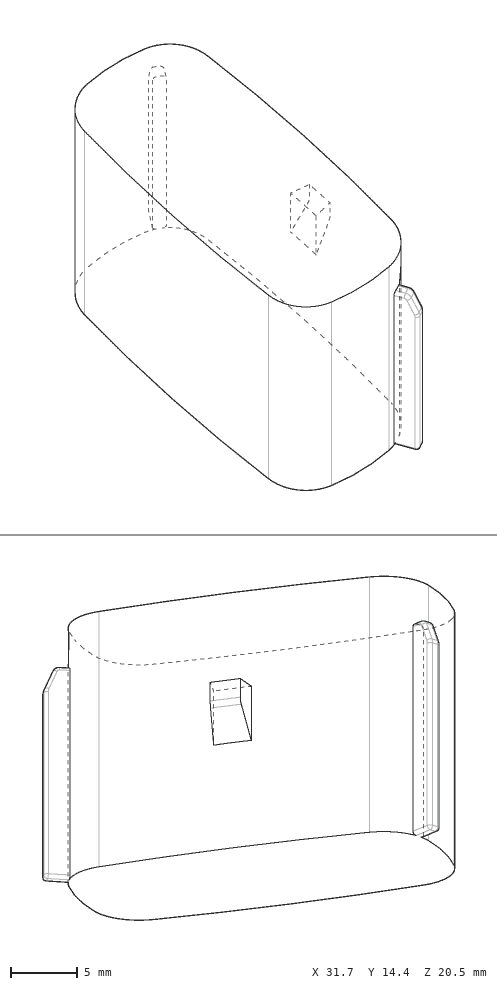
import cadquery as cq
body_width = 29.28
body_depth = 12.8
body_height = 20.5
long_side_bow = 0.6
end_bow = 1.1
corner_radius = 3.92

fin_angle = 30
fin_axis_x = 10.55
fin_axis_y = 1.93
fin_reach = 5.92
fin_thickness = 1.08
fin_height = 17.0
fin_slope_width = 0.82
fin_slope_height = 1.9
fin_tip_blend = 0.9
fin_top_blend = 0.5
fin_edge_radius = 0.3

catch_projection = 1.58
catch_root_width = 3.0
catch_tip_width = 2.4
catch_root_bottom = 8.45
catch_root_top = 12.8
catch_tip_bottom = 11.1
catch_tip_top = 12.88
catch_tip_blend = 1.0
catch_embed = 0.32

rear_y = body_depth / 2


def make_body():
    half_width = body_width / 2
    half_depth = body_depth / 2
    corner_x = half_width - end_bow
    corner_y = half_depth - long_side_bow
    return (
        cq.Workplane("XY")
        .moveTo(-corner_x, -corner_y)
        .threePointArc((0, -half_depth), (corner_x, -corner_y))
        .threePointArc((half_width, 0), (corner_x, corner_y))
        .threePointArc((0, half_depth), (-corner_x, corner_y))
        .threePointArc((-half_width, 0), (-corner_x, -corner_y))
        .close()
        .extrude(body_height)
        .edges("|Z")
        .fillet(corner_radius)
    )


def make_right_fin():
    profile = [
        (0, 0),
        (fin_reach, 0),
        (fin_reach, fin_height - fin_slope_height),
        (fin_reach - fin_slope_width, fin_height),
        (0, fin_height),
    ]
    return (
        cq.Workplane("XZ")
        .polyline(profile)
        .close()
        .extrude(fin_thickness / 2, both=True)
        .edges("|Y and >X and (not <Z)")
        .fillet(fin_tip_blend)
        .edges("|Y and >Z and (not <X)")
        .fillet(fin_top_blend)
        .edges("not <X")
        .fillet(fin_edge_radius)
        .rotate((0, 0, 0), (0, 0, 1), fin_angle)
        .translate((fin_axis_x, fin_axis_y, 0))
    )


def make_catch():
    embed_ratio = catch_embed / catch_projection
    inner_y = rear_y - catch_embed
    tip_y = rear_y + catch_projection
    inner_bottom = catch_root_bottom - embed_ratio * (catch_tip_bottom - catch_root_bottom)
    inner_top = catch_root_top - embed_ratio * (catch_tip_top - catch_root_top)
    inner_width = catch_root_width + embed_ratio * (catch_root_width - catch_tip_width)

    side_profile = (
        cq.Workplane("YZ")
        .polyline([
            (inner_y, inner_bottom),
            (tip_y, catch_tip_bottom),
            (tip_y, catch_tip_top),
            (inner_y, inner_top),
        ])
        .close()
        .extrude(inner_width / 2, both=True)
        .edges(cq.selectors.NearestToPointSelector((0, tip_y, catch_tip_bottom)))
        .fillet(catch_tip_blend)
    )
    plan_profile = (
        cq.Workplane("XY")
        .polyline([
            (-inner_width / 2, inner_y),
            (inner_width / 2, inner_y),
            (catch_tip_width / 2, tip_y),
            (-catch_tip_width / 2, tip_y),
        ])
        .close()
        .extrude(body_height)
    )
    return side_profile.intersect(plan_profile)


right_fin = make_right_fin()
left_fin = right_fin.mirror("YZ")
result = make_body().union(right_fin).union(left_fin).union(make_catch())